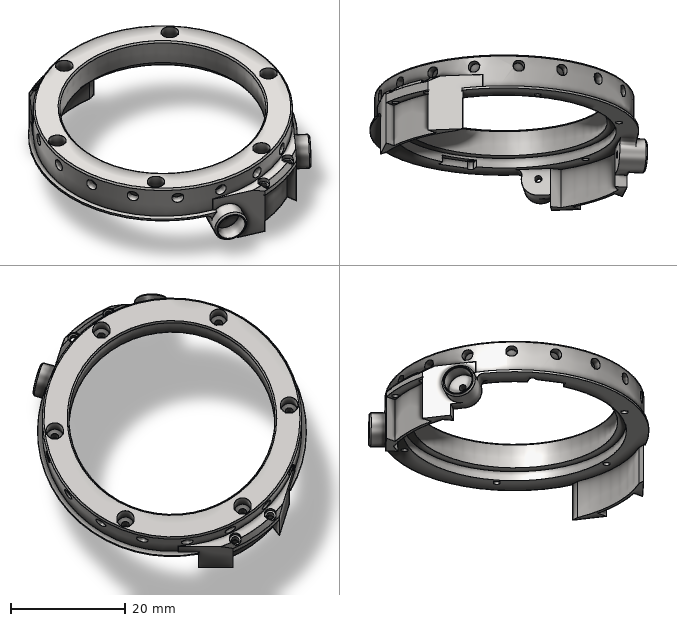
import cadquery as cq
import math

RING_RADIUS = 22.64
RING_HEIGHT = 6.5
RING_CHAMFER = 0.3
BORE_RADIUS = 18.0
BORE_CHAMFER = 0.3
UNDERCUT_RADIUS = 19.525
UNDERCUT_DEPTH = 1.75

NOTCH_ANGLE = 67.5
NOTCH_WIDTH = 6.55
NOTCH_HEIGHT = 1.25
NOTCH_OUTER_RADIUS = 20.6

FLANGE_RADIUS = 23.45
FLANGE_THICKNESS = 0.4
FLANGE_GAP_WIDTH = 19.9

SCREW_COUNT = 6
SCREW_CIRCLE_RADIUS = 20.6
SCREW_HEAD_DIAMETER = 3.0
SCREW_HEAD_DEPTH = 3.0
SCREW_SHANK_DIAMETER = 1.35
SCREW_SHANK_END = 5.05
SCREW_TIP_DIAMETER = 1.2

RADIAL_COUNT = 18
RADIAL_DIAMETER = 2.0
RADIAL_DEPTH = 1.5
RADIAL_HEIGHT = 4.4

EAR_RADIUS = 25.15
EAR_TOP = 2.85
EAR_CHAMFER = 0.85
EAR_WIDTH = 25.4
FLAT_DISTANCE = 22.7
FLAT_ANGLE = math.atan2(3, 4)
FLAT_HALF_LENGTH = math.sqrt(EAR_RADIUS**2 - FLAT_DISTANCE**2)

LEG_DEPTH = 7.05
RECESS_RADIUS = 23.2
LEFT_RECESS_TOP = 0.4
RIGHT_RECESS_TOP = 1.05
LEFT_LEG_INNER_X = 20.95
RIGHT_LEG_SIDE_OFFSET = 5.7
RIGHT_LEG_WALL_START = (21.55, 6.85)

EAR_HOLE_X = 23.55
EAR_HOLE_Y = 3.8
EAR_HOLE_DIAMETER = 1.25
EAR_HEAD_DIAMETER = 2.0
EAR_HEAD_DEPTH = 0.8

SOCKET_RADIUS = 2.99
SOCKET_OFFSET = 3.55
SOCKET_INNER_END = 20.55
SOCKET_OUTER_END = 25.55
SOCKET_Z = -1.85
SOCKET_CHAMFER = 0.3
SOCKET_BORE_DIAMETER = 5.0
SOCKET_BORE_DEPTH = 3.05
SOCKET_HOLE_DIAMETER = 1.2
SOCKET_FILLET = 1.0


def cylinder(radius, bottom, top):
    return cq.Workplane("XY").workplane(offset=bottom).circle(radius).extrude(top - bottom)


def right_block(x_min, width, bottom, top):
    """Block on the +X side, centred on the X axis and reaching past the ear."""
    length = EAR_RADIUS - x_min
    block = cq.Workplane("XY").box(length, width, top - bottom, centered=(False, True, False))
    return block.translate((x_min, 0, bottom))


def with_mirror(shape, plane):
    return shape.union(shape.mirror(plane))


def flat_point(distance, offset):
    """Point at a distance along the +Y flat's normal, then offset along the flat towards the ear."""
    x = distance * math.cos(FLAT_ANGLE) + offset * math.sin(FLAT_ANGLE)
    y = distance * math.sin(FLAT_ANGLE) - offset * math.cos(FLAT_ANGLE)
    return (x, y)


EAR_CORNER = flat_point(FLAT_DISTANCE, FLAT_HALF_LENGTH)


def make_flat_bounds():
    """Kite-shaped prism on the +X side whose two outer sides are the ear flats."""
    upper = flat_point(FLAT_DISTANCE, 0)
    lower = (upper[0], -upper[1])
    tip = (FLAT_DISTANCE / math.cos(FLAT_ANGLE), 0)
    outline = cq.Workplane("XY").workplane(offset=-LEG_DEPTH).polyline([(0, 0), lower, tip, upper])
    return outline.close().extrude(LEG_DEPTH + EAR_TOP)


def make_ring():
    return cylinder(RING_RADIUS, 0, RING_HEIGHT).faces(">Z").chamfer(RING_CHAMFER)


def make_flange():
    gap = right_block(0, FLANGE_GAP_WIDTH, 0, FLANGE_THICKNESS)
    return cylinder(FLANGE_RADIUS, 0, FLANGE_THICKNESS).cut(with_mirror(gap, "YZ"))


def make_ear():
    ear = cylinder(EAR_RADIUS, 0, EAR_TOP).faces(">Z").chamfer(EAR_CHAMFER)
    return ear.intersect(make_flat_bounds()).intersect(right_block(0, EAR_WIDTH, 0, EAR_TOP))


def make_leg_wall(x_min, width):
    """Curved wall below the ear, between the ring radius and the ear's outline."""
    wall = cylinder(EAR_RADIUS, -LEG_DEPTH, 0).cut(cylinder(RING_RADIUS, -LEG_DEPTH, 0))
    return wall.intersect(make_flat_bounds()).intersect(right_block(x_min, width, -LEG_DEPTH, 0))


def make_right_leg():
    """Leg wall with a toe at each end that reaches in beside the socket."""
    toe_outline = [
        flat_point(SOCKET_INNER_END, RIGHT_LEG_SIDE_OFFSET),
        flat_point(FLAT_DISTANCE, RIGHT_LEG_SIDE_OFFSET),
        EAR_CORNER,
        RIGHT_LEG_WALL_START,
    ]
    toe = cq.Workplane("XY").workplane(offset=-LEG_DEPTH).polyline(toe_outline).close().extrude(LEG_DEPTH)
    wall_x, wall_y = RIGHT_LEG_WALL_START
    return make_leg_wall(wall_x, 2 * wall_y).union(with_mirror(toe, "XZ"))


def make_recess(top):
    recess = right_block(0, 2 * EAR_CORNER[1], -LEG_DEPTH, top)
    return recess.cut(cylinder(RECESS_RADIUS, -LEG_DEPTH, top))


def make_right_end():
    return make_ear().union(make_right_leg()).cut(make_recess(RIGHT_RECESS_TOP))


def make_left_end():
    leg = make_leg_wall(LEFT_LEG_INNER_X, 2 * EAR_RADIUS)
    return make_ear().union(leg).cut(make_recess(LEFT_RECESS_TOP)).mirror("YZ")


def socket_sketch(distance):
    """Workplane across the +Y socket axis: X away from the ear, Y up."""
    plane = cq.Plane(
        origin=(*flat_point(distance, SOCKET_OFFSET), SOCKET_Z),
        xDir=(-math.sin(FLAT_ANGLE), math.cos(FLAT_ANGLE), 0),
        normal=(math.cos(FLAT_ANGLE), math.sin(FLAT_ANGLE), 0),
    )
    return cq.Workplane(plane)


def make_socket_tube():
    straight = SOCKET_OUTER_END - SOCKET_CHAMFER - SOCKET_INNER_END
    tube = socket_sketch(SOCKET_INNER_END).circle(SOCKET_RADIUS).extrude(straight)
    rim = socket_sketch(SOCKET_OUTER_END - SOCKET_CHAMFER).circle(SOCKET_RADIUS)
    return tube.union(rim.extrude(SOCKET_CHAMFER, taper=45))


def make_socket_web():
    """Filling from the tube up to the flange, with a concave fillet on the side away from the ear."""
    rise = -SOCKET_Z
    top = rise + FLANGE_THICKNESS
    reach = SOCKET_RADIUS + SOCKET_FILLET
    fillet_x = math.sqrt(reach**2 - (rise - SOCKET_FILLET) ** 2)
    tangent_x = fillet_x * SOCKET_RADIUS / reach
    tangent_y = (rise - SOCKET_FILLET) * SOCKET_RADIUS / reach
    web = (
        socket_sketch(SOCKET_INNER_END)
        .lineTo(tangent_x, tangent_y)
        .radiusArc((fillet_x, rise), SOCKET_FILLET)
        .lineTo(fillet_x, top)
        .lineTo(0, top)
        .close()
        .extrude(EAR_RADIUS - SOCKET_INNER_END)
    )
    return web.intersect(cylinder(FLANGE_RADIUS, -LEG_DEPTH, FLANGE_THICKNESS))


def make_socket_foot():
    """Square-edged filling between the lower half of the tube and the leg."""
    width = RIGHT_LEG_SIDE_OFFSET - SOCKET_OFFSET
    foot = socket_sketch(SOCKET_INNER_END).moveTo(-width / 2, -SOCKET_RADIUS / 2)
    return foot.rect(width, SOCKET_RADIUS).extrude(FLAT_DISTANCE - SOCKET_INNER_END)


def make_leg_clearance():
    """Open space between the inner faces of the two right leg toes."""
    toe_x, toe_y = flat_point(SOCKET_INNER_END, RIGHT_LEG_SIDE_OFFSET)
    wall_x, wall_y = RIGHT_LEG_WALL_START
    outline = [(toe_x, toe_y), (wall_x, wall_y), (wall_x, -wall_y), (toe_x, -toe_y)]
    return cq.Workplane("XY").workplane(offset=-LEG_DEPTH).polyline(outline).close().extrude(LEG_DEPTH)


def make_sockets():
    socket = make_socket_tube().union(make_socket_web()).union(make_socket_foot())
    return with_mirror(socket, "XZ").cut(make_leg_clearance())


def make_socket_bores():
    outer_end = socket_sketch(SOCKET_OUTER_END)
    bore = outer_end.circle(SOCKET_BORE_DIAMETER / 2).extrude(-SOCKET_BORE_DEPTH)
    hole = outer_end.circle(SOCKET_HOLE_DIAMETER / 2).extrude(SOCKET_INNER_END - SOCKET_OUTER_END)
    return with_mirror(bore.union(hole), "XZ")


def make_ring_bore():
    """Central bore with a chamfered mouth at the top and a wider undercut at the bottom."""
    profile = [
        (0, -LEG_DEPTH),
        (BORE_RADIUS, -LEG_DEPTH),
        (BORE_RADIUS, 0),
        (UNDERCUT_RADIUS, 0),
        (UNDERCUT_RADIUS, UNDERCUT_DEPTH),
        (BORE_RADIUS, UNDERCUT_DEPTH),
        (BORE_RADIUS, RING_HEIGHT - BORE_CHAMFER),
        (BORE_RADIUS + BORE_CHAMFER, RING_HEIGHT),
        (0, RING_HEIGHT),
    ]
    return cq.Workplane("XZ").polyline(profile).close().revolve(360, (0, 0), (0, 1))


def make_notch():
    length = NOTCH_OUTER_RADIUS - BORE_RADIUS
    notch = cq.Workplane("XY").box(length, NOTCH_WIDTH, NOTCH_HEIGHT, centered=(False, True, False))
    return notch.translate((BORE_RADIUS, 0, 0)).rotate((0, 0, 0), (0, 0, 1), NOTCH_ANGLE)


def make_drills(places, steps):
    """Stepped holes going down from placed points; each step is a diameter and its depth."""
    drills = cq.Workplane("XY")
    for diameter, depth in steps:
        drills = drills.union(places.circle(diameter / 2).extrude(-depth))
    return drills


def make_ring_screw_holes():
    top = cq.Workplane("XY").workplane(offset=RING_HEIGHT)
    places = top.polarArray(SCREW_CIRCLE_RADIUS, 0, 360, SCREW_COUNT)
    steps = [
        (SCREW_HEAD_DIAMETER, SCREW_HEAD_DEPTH),
        (SCREW_SHANK_DIAMETER, SCREW_SHANK_END),
        (SCREW_TIP_DIAMETER, RING_HEIGHT),
    ]
    return make_drills(places, steps)


def make_ear_screw_holes():
    top = cq.Workplane("XY").workplane(offset=EAR_TOP)
    places = top.rect(2 * EAR_HOLE_X, 2 * EAR_HOLE_Y, forConstruction=True).vertices()
    return make_drills(places, [(EAR_HEAD_DIAMETER, EAR_HEAD_DEPTH), (EAR_HOLE_DIAMETER, EAR_TOP)])


def make_radial_holes():
    floor = cq.Workplane("XZ", origin=(0, RADIAL_DEPTH - RING_RADIUS, RADIAL_HEIGHT))
    hole = floor.circle(RADIAL_DIAMETER / 2).extrude(2 * RADIAL_DEPTH)
    holes = cq.Workplane("XY")
    for index in range(RADIAL_COUNT):
        holes = holes.union(hole.rotate((0, 0, 0), (0, 0, 1), index * 360 / RADIAL_COUNT))
    return holes


body = make_ring().union(make_flange())
body = body.union(make_right_end()).union(make_left_end()).union(make_sockets())
body = body.cut(make_ring_bore()).cut(make_notch()).cut(make_socket_bores())
result = body.cut(make_ring_screw_holes()).cut(make_ear_screw_holes()).cut(make_radial_holes())